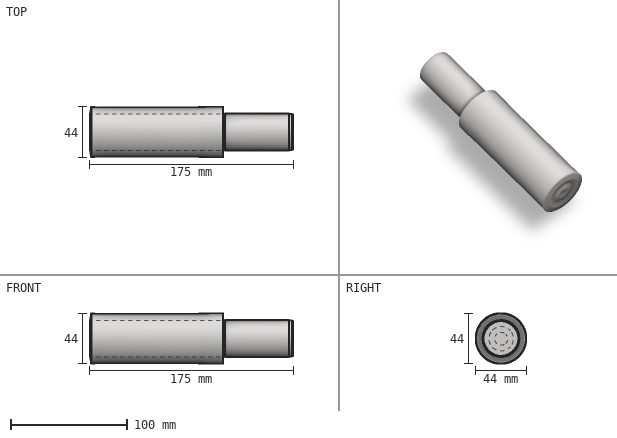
import cadquery as cq

TOTAL_LENGTH = 175.0

SLEEVE_DIAMETER = 43.0
COLLAR_DIAMETER = 44.0
BORE_DIAMETER = 31.5
SLEEVE_LENGTH = 115.0
FACE_DIAMETER = 42.4
FACE_SETBACK = 0.9
RIM_START = 1.4
RIM_END = 3.8
FLARE_START = 93.0
FLARE_END = 109.7
COLLAR_CHAMFER = 0.5
FLARE_MID_RISE = 0.75

SHANK_DIAMETER = 32.0
SHANK_START = 116.0
SHANK_END = 171.8
SHANK_CHAMFER_LENGTH = 0.7
TIP_CHAMFER = 0.9
DISH_DIAMETER = 21.0
DISH_DEPTH = 1.2
BOSS_DIAMETER = 11.2
CENTRE_DEPTH = 0.9


def make_sleeve():
    """Bored sleeve with a raised near rim and a flared collar."""
    bore_radius = BORE_DIAMETER / 2
    body_radius = SLEEVE_DIAMETER / 2
    collar_radius = COLLAR_DIAMETER / 2
    profile = (
        cq.Workplane("XY")
        .moveTo(0, bore_radius)
        .lineTo(FACE_SETBACK, FACE_DIAMETER / 2)
        .lineTo(RIM_START, collar_radius)
        .lineTo(RIM_END, body_radius)
        .lineTo(FLARE_START, body_radius)
        .threePointArc(
            ((FLARE_START + FLARE_END) / 2, body_radius + FLARE_MID_RISE * (collar_radius - body_radius)),
            (FLARE_END, collar_radius),
        )
        .lineTo(SLEEVE_LENGTH - COLLAR_CHAMFER, collar_radius)
        .lineTo(SLEEVE_LENGTH, collar_radius - COLLAR_CHAMFER)
        .lineTo(SLEEVE_LENGTH, bore_radius)
        .close()
    )
    return profile.revolve(360, (0, 0, 0), (1, 0, 0))


def make_pin():
    """Pin filling the bore, with a thicker shank and a dished near end."""
    core_radius = BORE_DIAMETER / 2
    shank_radius = SHANK_DIAMETER / 2
    profile = (
        cq.Workplane("XY")
        .moveTo(CENTRE_DEPTH, 0)
        .lineTo(0, BOSS_DIAMETER / 2)
        .lineTo(DISH_DEPTH, DISH_DIAMETER / 2)
        .lineTo(0, core_radius)
        .lineTo(SHANK_START, core_radius)
        .lineTo(SHANK_START + SHANK_CHAMFER_LENGTH, shank_radius)
        .lineTo(SHANK_END - SHANK_CHAMFER_LENGTH, shank_radius)
        .lineTo(SHANK_END, core_radius)
        .lineTo(TOTAL_LENGTH - TIP_CHAMFER, core_radius)
        .lineTo(TOTAL_LENGTH, core_radius - TIP_CHAMFER)
        .lineTo(TOTAL_LENGTH, 0)
        .close()
    )
    return profile.revolve(360, (0, 0, 0), (1, 0, 0))


sleeve = make_sleeve()
pin = make_pin()
result = cq.Compound.makeCompound([sleeve.val(), pin.val()])